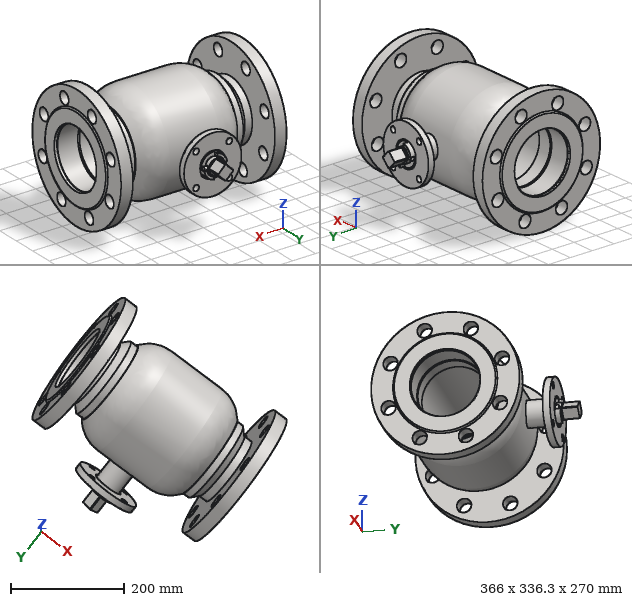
import cadquery as cq
import math

END_X = 183.0

FLANGE_RADIUS = 135.0
FLANGE_THICKNESS = 25.5
RAISED_FACE_RADIUS = 95.0
RAISED_FACE_HEIGHT = 3.0
FLANGE_LIP_RADIUS = 64.0
FLANGE_LIP_LENGTH = 6.5
BOLT_COUNT = 8
BOLT_CIRCLE_RADIUS = 109.8
BOLT_HOLE_RADIUS = 13.0
BOLT_FIRST_ANGLE = 20.0

NECK_PIPE_RADIUS = 66.2
NECK_COLLAR_RADIUS = 79.8
NECK_BORE_RADIUS = 63.0
BORE_RADIUS = 62.0
BORE_TAPER_START_X = 132.5
BORE_TAPER_END_X = 129.5
CONE_OUTER_X = 138.5
CONE_INNER_X = 125.0

SHELL_RADIUS = 109.5
SHELL_STRAIGHT_X = 55.5
SHELL_END_X = 110.5
SHELL_SHOULDER_RADIUS = 69.5
NECK_SEAT_X = 99.5

SLEEVE_RADIUS = 25.0
SLEEVE_TOP_Y = 171.3
COLLAR_BORE_RADIUS = 19.0
PLATE_RADIUS = 62.5
PLATE_BOTTOM_Y = 148.5
PLATE_CLEARANCE = 3.0
PLATE_TOP_Y = 161.8
PLATE_HOLE_COUNT = 4
PLATE_HOLE_CIRCLE_RADIUS = 51.0
PLATE_HOLE_FIRST_ANGLE = 45.0
PLATE_HOLE_RADIUS = 6.2
STEM_RADIUS = 16.0
STEM_SHOULDER_Y = 172.5
STEM_TOP_Y = 201.3
SQUARE_SIZE = 24.0
PIN_RADIUS = 4.0
PIN_HALF_LENGTH = 23.5
PIN_Y = PLATE_TOP_Y + PIN_RADIUS


def revolve_about_x(outline):
    """Close a sketch of X and radius and turn it about the flow axis."""
    return outline.close().revolve(360, (0, 0, 0), (1, 0, 0))


def y_cylinder(radius, bottom_y, top_y):
    """A cylinder on the stem axis."""
    return cq.Workplane("XZ", origin=(0, bottom_y, 0)).circle(radius).extrude(bottom_y - top_y)


def make_flange():
    """The flange at the -X end."""
    front_x = -END_X + RAISED_FACE_HEIGHT
    back_x = front_x + FLANGE_THICKNESS
    lip_x = -END_X + FLANGE_LIP_LENGTH
    flange = revolve_about_x(
        cq.Workplane("XY")
        .moveTo(-END_X, FLANGE_LIP_RADIUS)
        .lineTo(-END_X, RAISED_FACE_RADIUS - RAISED_FACE_HEIGHT)
        .lineTo(front_x, RAISED_FACE_RADIUS)
        .lineTo(front_x, FLANGE_RADIUS)
        .lineTo(back_x, FLANGE_RADIUS)
        .lineTo(back_x, NECK_PIPE_RADIUS)
        .lineTo(lip_x, NECK_PIPE_RADIUS)
        .lineTo(lip_x, FLANGE_LIP_RADIUS)
    )
    for i in range(BOLT_COUNT):
        angle = math.radians(BOLT_FIRST_ANGLE + i * 360 / BOLT_COUNT)
        hole_y = -BOLT_CIRCLE_RADIUS * math.sin(angle)
        hole_z = BOLT_CIRCLE_RADIUS * math.cos(angle)
        hole = (
            cq.Workplane("YZ", origin=(-END_X, hole_y, hole_z))
            .circle(BOLT_HOLE_RADIUS)
            .extrude(back_x + END_X)
        )
        flange = flange.cut(hole)
    return flange


def make_neck():
    """The neck at the -X end: a pipe, a cone and a collar set into the shell."""
    pipe_end_x = -END_X + FLANGE_LIP_LENGTH
    return revolve_about_x(
        cq.Workplane("XY")
        .moveTo(pipe_end_x, NECK_BORE_RADIUS)
        .lineTo(pipe_end_x, NECK_PIPE_RADIUS)
        .lineTo(-CONE_OUTER_X, NECK_PIPE_RADIUS)
        .lineTo(-CONE_INNER_X, NECK_COLLAR_RADIUS)
        .lineTo(-NECK_SEAT_X, NECK_COLLAR_RADIUS)
        .lineTo(-NECK_SEAT_X, BORE_RADIUS)
        .lineTo(-BORE_TAPER_END_X, BORE_RADIUS)
        .lineTo(-BORE_TAPER_START_X, NECK_BORE_RADIUS)
    )


def shoulder_radius(x):
    """Outer radius of the shell's rounded shoulder at a distance x from the middle."""
    arc_centre_radius = SHELL_RADIUS - SHELL_SHOULDER_RADIUS
    return arc_centre_radius + math.sqrt(SHELL_SHOULDER_RADIUS**2 - (x - SHELL_STRAIGHT_X) ** 2)


def make_shell():
    """Round-shouldered shell with the flow passage and a recess for each neck."""
    shoulder_x = (SHELL_STRAIGHT_X + SHELL_END_X) / 2
    shoulder_r = shoulder_radius(shoulder_x)
    end_r = shoulder_radius(SHELL_END_X)
    return revolve_about_x(
        cq.Workplane("XY")
        .moveTo(-NECK_SEAT_X, BORE_RADIUS)
        .lineTo(-NECK_SEAT_X, NECK_COLLAR_RADIUS)
        .lineTo(-SHELL_END_X, NECK_COLLAR_RADIUS)
        .lineTo(-SHELL_END_X, end_r)
        .threePointArc((-shoulder_x, shoulder_r), (-SHELL_STRAIGHT_X, SHELL_RADIUS))
        .lineTo(SHELL_STRAIGHT_X, SHELL_RADIUS)
        .threePointArc((shoulder_x, shoulder_r), (SHELL_END_X, end_r))
        .lineTo(SHELL_END_X, NECK_COLLAR_RADIUS)
        .lineTo(NECK_SEAT_X, NECK_COLLAR_RADIUS)
        .lineTo(NECK_SEAT_X, BORE_RADIUS)
    )


def make_shell_envelope():
    """Solid cylinder over the shell's middle, used to seat the sleeve and stem on it."""
    return (
        cq.Workplane("YZ", origin=(-SHELL_STRAIGHT_X, 0, 0))
        .circle(SHELL_RADIUS)
        .extrude(2 * SHELL_STRAIGHT_X)
    )


def make_sleeve():
    """Sleeve whose collar has two opposite gaps that let the stop pin swing a quarter turn."""
    sleeve = y_cylinder(SLEEVE_RADIUS, 0, SLEEVE_TOP_Y)
    sleeve = sleeve.cut(y_cylinder(STEM_RADIUS, 0, PLATE_TOP_Y))
    sleeve = sleeve.cut(y_cylinder(COLLAR_BORE_RADIUS, PLATE_TOP_Y, SLEEVE_TOP_Y))
    collar_height = SLEEVE_TOP_Y - PLATE_TOP_Y
    gap_size = SLEEVE_RADIUS + PIN_RADIUS
    for side in (1, -1):
        centre = side * (gap_size / 2 - PIN_RADIUS)
        gap = cq.Workplane("XY").box(gap_size, collar_height, gap_size)
        sleeve = sleeve.cut(gap.translate((centre, PLATE_TOP_Y + collar_height / 2, centre)))
    return sleeve.cut(make_shell_envelope())


def make_plate():
    """Round mounting plate with a ring of screw holes, fitted loosely around the sleeve."""
    plate = y_cylinder(PLATE_RADIUS, PLATE_BOTTOM_Y, PLATE_TOP_Y)
    plate = plate.cut(y_cylinder(SLEEVE_RADIUS + PLATE_CLEARANCE, PLATE_BOTTOM_Y, PLATE_TOP_Y))
    for i in range(PLATE_HOLE_COUNT):
        angle = math.radians(PLATE_HOLE_FIRST_ANGLE + i * 360 / PLATE_HOLE_COUNT)
        hole_x = PLATE_HOLE_CIRCLE_RADIUS * math.cos(angle)
        hole_z = PLATE_HOLE_CIRCLE_RADIUS * math.sin(angle)
        hole = y_cylinder(PLATE_HOLE_RADIUS, PLATE_BOTTOM_Y, PLATE_TOP_Y)
        plate = plate.cut(hole.translate((hole_x, 0, hole_z)))
    return plate


def make_pin():
    """Stop pin across the stem, its underside level with the top of the mounting plate."""
    return (
        cq.Workplane("YZ", origin=(-PIN_HALF_LENGTH, PIN_Y, 0))
        .circle(PIN_RADIUS)
        .extrude(2 * PIN_HALF_LENGTH)
    )


def make_stem():
    """Round stem with a square end, its corners pointing along X and Z."""
    shaft = y_cylinder(STEM_RADIUS, 0, STEM_SHOULDER_Y)
    square = (
        cq.Workplane("XZ", origin=(0, STEM_SHOULDER_Y, 0))
        .transformed(rotate=(0, 0, 45))
        .rect(SQUARE_SIZE, SQUARE_SIZE)
        .extrude(STEM_SHOULDER_Y - STEM_TOP_Y)
        .intersect(y_cylinder(STEM_RADIUS, STEM_SHOULDER_Y, STEM_TOP_Y))
    )
    return shaft.union(square).cut(make_shell_envelope()).cut(make_pin())


flange = make_flange()
neck = make_neck()
flanges = [flange, flange.mirror("YZ")]
necks = [neck, neck.mirror("YZ")]
shell = make_shell()
sleeve = make_sleeve()
plate = make_plate()
stem = make_stem()
pin = make_pin()

result = cq.Compound.makeCompound(
    [body.val() for body in (*flanges, *necks, shell, sleeve, plate, stem, pin)]
)